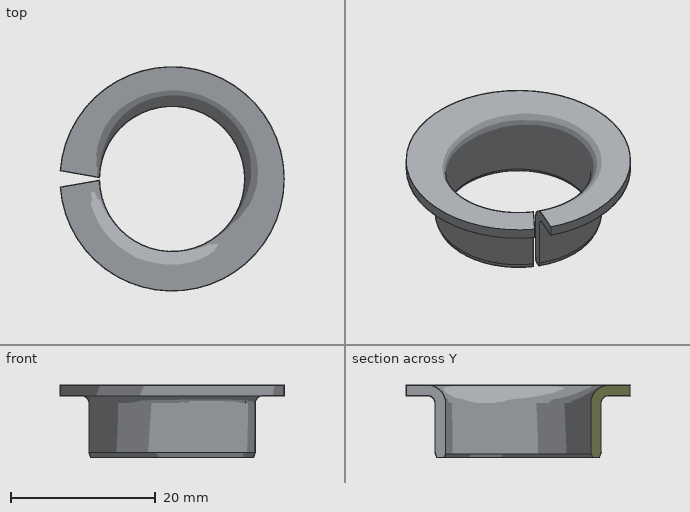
import cadquery as cq
import math

flange_radius = 15.5
flange_thickness = 1.5
height = 10.0
bore_radius = 10.0
sleeve_radius = 11.5

mouth_radius = 2.5
neck_fillet = 1.0
outer_chamfer_height = 0.68
outer_chamfer_width = 0.25
bore_chamfer_height = 0.5
bore_chamfer_width = 0.25

split_apex_distance = 9.0
split_half_angle = 10.0
split_reach = 18.6

flange_bottom = height - flange_thickness
diagonal = math.sqrt(0.5)


def make_bushing():
    """Revolve the wall section, drawn with radius along X and height along Z."""
    mouth_edge = bore_radius + mouth_radius
    mouth_bottom = height - mouth_radius
    mouth_middle = (
        mouth_edge - mouth_radius * diagonal,
        mouth_bottom + mouth_radius * diagonal,
    )
    neck_edge = sleeve_radius + neck_fillet
    neck_bottom = flange_bottom - neck_fillet
    neck_middle = (
        neck_edge - neck_fillet * diagonal,
        neck_bottom + neck_fillet * diagonal,
    )
    section = (
        cq.Workplane("XZ")
        .moveTo(bore_radius + bore_chamfer_width, 0)
        .lineTo(sleeve_radius - outer_chamfer_width, 0)
        .lineTo(sleeve_radius, outer_chamfer_height)
        .lineTo(sleeve_radius, neck_bottom)
        .threePointArc(neck_middle, (neck_edge, flange_bottom))
        .lineTo(flange_radius, flange_bottom)
        .lineTo(flange_radius, height)
        .lineTo(mouth_edge, height)
        .threePointArc(mouth_middle, (bore_radius, mouth_bottom))
        .lineTo(bore_radius, bore_chamfer_height)
        .close()
    )
    bushing = section.revolve(360, (0, 0, 0), (0, 1, 0))
    return bushing.rotate((0, 0, 0), (0, 0, 1), 180)


def make_split():
    """Full-height wedge that widens outward from its apex inside the bore."""
    half_width = (split_reach - split_apex_distance) * math.tan(math.radians(split_half_angle))
    return (
        cq.Workplane("XY")
        .moveTo(-split_apex_distance, 0)
        .lineTo(-split_reach, half_width)
        .lineTo(-split_reach, -half_width)
        .close()
        .extrude(height)
    )


result = make_bushing().cut(make_split())